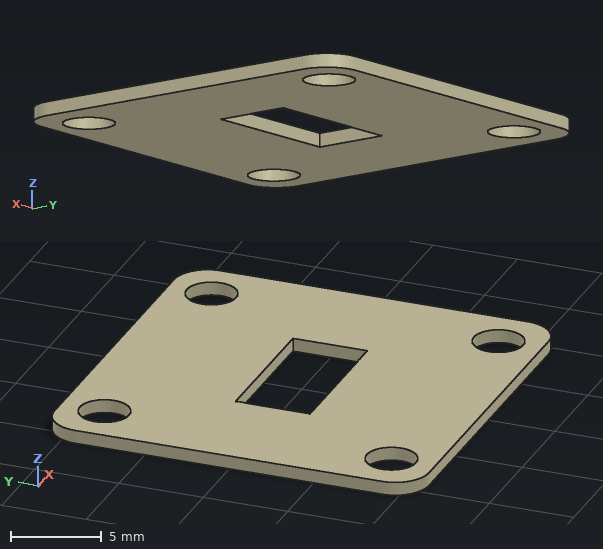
import cadquery as cq

plate_side = 22.2
plate_thickness = 0.8
corner_radius = 2.0

window_length = 8.72
window_width = 4.4

hole_diameter = 2.9
hole_spacing_x = 16.32
hole_spacing_y = 17.0

plate = (
    cq.Workplane("XY")
    .rect(plate_side, plate_side)
    .extrude(plate_thickness)
    .edges("|Z")
    .fillet(corner_radius)
)

window = cq.Workplane("XY").rect(window_length, window_width).extrude(plate_thickness)

mounting_holes = (
    cq.Workplane("XY")
    .rect(hole_spacing_x, hole_spacing_y, forConstruction=True)
    .vertices()
    .circle(hole_diameter / 2)
    .extrude(plate_thickness)
)

result = plate.cut(window).cut(mounting_holes)